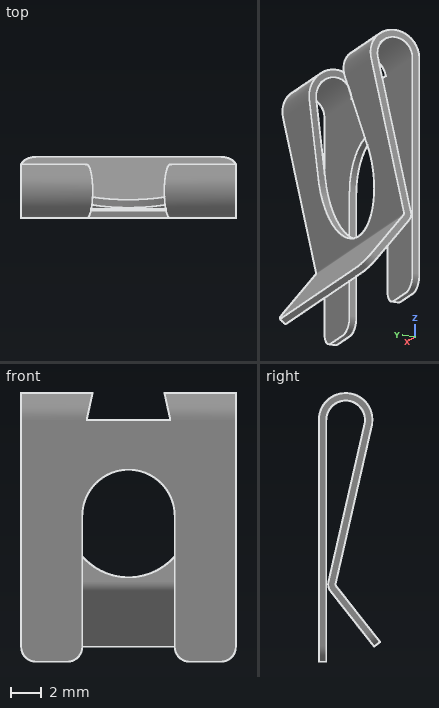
import cadquery as cq
import math

width = 14.0
depth = 4.0
height = 17.51
thickness = 0.5
corner_radius = 1.0

curl_outer_radius = 1.75
curl_inner_radius = curl_outer_radius - thickness
curl_y = curl_outer_radius
curl_z = height - curl_outer_radius

contact_gap = 0.1
bend_inner_radius = 0.2
bend_outer_radius = bend_inner_radius + thickness
bend_y = thickness + contact_gap + bend_outer_radius
bend_z = 5.05

tangent_offset = curl_outer_radius + bend_inner_radius
leg_rise = curl_z - bend_z
leg_run = curl_y - bend_y
leg_angle = math.asin(tangent_offset / math.hypot(leg_rise, leg_run)) + math.atan2(leg_run, leg_rise)
tab_angle = math.radians(38.2)
tab_length = (depth - bend_y + bend_inner_radius * math.cos(tab_angle)) / math.sin(tab_angle)

slot_width = 6.0
hole_radius = 4.0
opening_z = 9.51
notch_top_width = 4.66

notch_rise = height - opening_z
notch_half_top = notch_top_width / 2
notch_reach = math.hypot(notch_rise, notch_half_top)
notch_angle = math.asin(hole_radius / notch_reach) - math.atan2(notch_half_top, notch_rise)
notch_tangent_z = opening_z + hole_radius * math.sin(notch_angle)


def point_on_arc(center_y, center_z, radius, angle):
    """Point (Y, Z) at an angle measured from +Y towards +Z."""
    return center_y + radius * math.cos(angle), center_z + radius * math.sin(angle)


def curl_point(radius, angle):
    return point_on_arc(curl_y, curl_z, radius, angle)


def bend_point(radius, angle):
    return point_on_arc(bend_y, bend_z, radius, angle)


def tab_end_point(radius):
    """End of the tab face that is tangent to the bend arc of this radius."""
    start_y, start_z = bend_point(radius, math.pi + tab_angle)
    return start_y + tab_length * math.sin(tab_angle), start_z - tab_length * math.cos(tab_angle)


def bent_strip():
    """Full-width strip: flat plate, curl, spring leg, bend and tab."""
    curl_middle = math.pi / 2
    leg_normal = -leg_angle
    bend_start = math.pi - leg_angle
    bend_end = math.pi + tab_angle
    bend_middle = (bend_start + bend_end) / 2
    return (
        cq.Workplane("YZ")
        .moveTo(0, 0)
        .lineTo(0, curl_z)
        .threePointArc(curl_point(curl_outer_radius, curl_middle), curl_point(curl_outer_radius, leg_normal))
        .lineTo(*bend_point(bend_inner_radius, bend_start))
        .threePointArc(bend_point(bend_inner_radius, bend_middle), bend_point(bend_inner_radius, bend_end))
        .lineTo(*tab_end_point(bend_inner_radius))
        .lineTo(*tab_end_point(bend_outer_radius))
        .lineTo(*bend_point(bend_outer_radius, bend_end))
        .threePointArc(bend_point(bend_outer_radius, bend_middle), bend_point(bend_outer_radius, bend_start))
        .lineTo(*curl_point(curl_inner_radius, leg_normal))
        .threePointArc(curl_point(curl_inner_radius, curl_middle), (thickness, curl_z))
        .lineTo(thickness, 0)
        .close()
        .extrude(width / 2, both=True)
    )


def round_tab_corners(body):
    """Round the two outer corners at the free end of the tab."""
    inner_y, inner_z = tab_end_point(bend_inner_radius)
    outer_y, outer_z = tab_end_point(bend_outer_radius)
    end_y = (inner_y + outer_y) / 2
    end_z = (inner_z + outer_z) / 2
    for side in (-1, 1):
        corner = (side * width / 2, end_y, end_z)
        body = body.edges(cq.selectors.NearestToPointSelector(corner)).fillet(corner_radius)
    return body


def plate_slot():
    """Round-topped slot, open at the bottom of the flat plate."""
    half = slot_width / 2
    return (
        cq.Workplane("XZ")
        .moveTo(-half, 0)
        .lineTo(-half, opening_z)
        .threePointArc((0, opening_z + half), (half, opening_z))
        .lineTo(half, 0)
        .close()
        .extrude(-thickness)
    )


def leg_hole():
    """Round hole through the spring leg, parallel to Y."""
    return (
        cq.Workplane("XZ", origin=(0, thickness, 0))
        .center(0, opening_z)
        .circle(hole_radius)
        .extrude(-depth)
    )


def notch_prism(bottom_z, front_y):
    """Prism that widens downwards from the top of the curl and runs back from front_y."""
    half_bottom = notch_half_top + (height - bottom_z) * math.tan(notch_angle)
    return (
        cq.Workplane("XZ", origin=(0, front_y, 0))
        .moveTo(-notch_half_top, height)
        .lineTo(notch_half_top, height)
        .lineTo(half_bottom, bottom_z)
        .lineTo(-half_bottom, bottom_z)
        .close()
        .extrude(-depth)
    )


def cut_notch(body):
    """Split the curl into two ears; behind the plate the notch runs down into the leg hole."""
    body = body.cut(notch_prism(curl_z, 0))
    return body.cut(notch_prism(notch_tangent_z, thickness))


clip = round_tab_corners(bent_strip())
clip = clip.cut(plate_slot())
clip = clip.faces("<Z").edges("|Y").fillet(corner_radius)
clip = clip.cut(leg_hole())
result = cut_notch(clip)